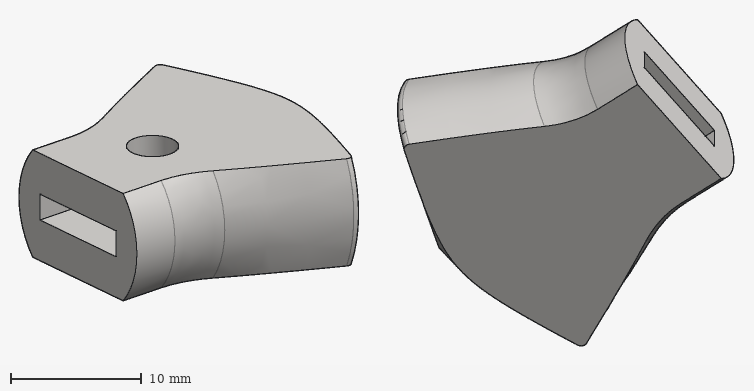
import cadquery as cq
import math

total_length = 22.92
max_radius = 12.3
thickness = 9.0
neck_radius = 7.02
neck_length = 3.82
blend_radius = 10.0
edge_radius = 0.5
nose_slope = math.radians(22.5)

slot_width = 9.0
slot_height = 2.17
slot_depth = 10.0

hole_y = 7.48
head_diameter = 4.01
head_depth = 2.0
shank_diameter = 2.41


def point_on_circle(center, radius, angle):
    return (center[0] + radius * math.cos(angle), center[1] + radius * math.sin(angle))


def make_body():
    """Revolve the half outline, then keep the slab between the two flat faces."""
    tip_center = (0, total_length - edge_radius)
    rim_x = max_radius - edge_radius
    rim_center = (rim_x, tip_center[1] - rim_x * math.tan(nose_slope))
    blend_center = (neck_radius + blend_radius, neck_length)

    across = blend_center[0] - rim_center[0]
    along = rim_center[1] - blend_center[1]
    tangent_turn = math.asin((blend_radius + edge_radius) / math.hypot(across, along))
    flare_angle = tangent_turn - math.atan2(across, along)

    nose_normal = math.pi / 2 - nose_slope
    blend_end = point_on_circle(blend_center, blend_radius, math.pi - flare_angle)
    blend_middle = point_on_circle(blend_center, blend_radius, math.pi - flare_angle / 2)
    rim_start = point_on_circle(rim_center, edge_radius, -flare_angle)
    rim_middle = point_on_circle(rim_center, edge_radius, (nose_normal - flare_angle) / 2)
    rim_end = point_on_circle(rim_center, edge_radius, nose_normal)
    tip_start = point_on_circle(tip_center, edge_radius, nose_normal)
    tip_middle = point_on_circle(tip_center, edge_radius, (nose_normal + math.pi / 2) / 2)

    solid = (
        cq.Workplane("XY")
        .lineTo(neck_radius, 0)
        .lineTo(neck_radius, neck_length)
        .threePointArc(blend_middle, blend_end)
        .lineTo(*rim_start)
        .threePointArc(rim_middle, rim_end)
        .lineTo(*tip_start)
        .threePointArc(tip_middle, (0, total_length))
        .close()
        .revolve(360, (0, 0, 0), (0, 1, 0))
    )
    slab = cq.Workplane("XY").box(
        2 * max_radius, total_length, thickness, centered=(True, False, True)
    )
    return solid.intersect(slab)


def make_slot():
    return cq.Workplane("XY").box(
        slot_width, slot_depth, slot_height, centered=(True, False, True)
    )


def make_screw_hole():
    """Straight head recess, 45 degree seat and a shank hole ending inside the slot."""
    head_radius = head_diameter / 2
    shank_radius = shank_diameter / 2
    top_z = thickness / 2
    seat_top_z = top_z - head_depth
    seat_bottom_z = seat_top_z - (head_radius - shank_radius)
    return (
        cq.Workplane("XZ", origin=(0, hole_y, 0))
        .lineTo(shank_radius, 0)
        .lineTo(shank_radius, seat_bottom_z)
        .lineTo(head_radius, seat_top_z)
        .lineTo(head_radius, top_z)
        .lineTo(0, top_z)
        .close()
        .revolve(360, (0, 0, 0), (0, 1, 0))
    )


result = make_body().cut(make_slot()).cut(make_screw_hole())